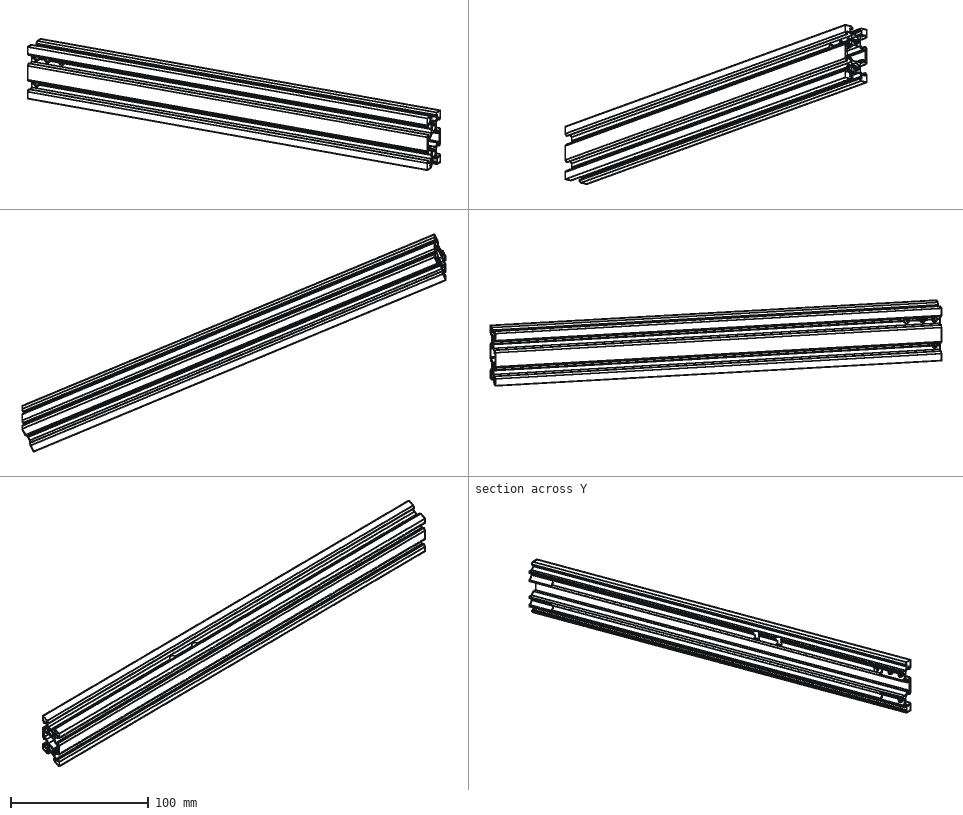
import cadquery as cq
import math

LENGTH = 330.0
WIDTH = 20.0
HEIGHT = 40.0

CELL = HEIGHT / 2
CORE_Z = (CELL / 2, -CELL / 2)

BORE_DIAMETER = 3.3
COUNTERBORE_DIAMETER = 5.3
COUNTERBORE_DEPTH = 19.8

CORE_WALL = 1.35
CORE = COUNTERBORE_DIAMETER + 2 * CORE_WALL

WALL = 1.8
WEB = 1.25
WEB_OFFSET = WEB / math.sqrt(2)

SLOT_MOUTH = 9.2
SLOT_BEVEL = 1.45
SLOT_INSIDE = 10.5
GROOVE_WIDTH = 0.5
GROOVE_DEPTH = 0.5

CAVITY_SHELF_Z = 3.5

SIDE_HOLE_DIAMETER = 3.5
UPPER_SIDE_HOLES_X = (4.0, 13.0, 24.8)
LOWER_SIDE_HOLES_X = (4.0,)

TOP_HOLE_DIAMETER = 4.5
TOP_HOLE_FLOOR = 1.52
TOP_HOLES_X = (110.0, 129.7)


def mirror_in_y(points):
    """Mirrored copy of (Y, Z) points, in the order that continues the outline."""
    return [(-y, z) for y, z in reversed(points)]


def along_x(outline):
    """Extrude a closed (Y, Z) outline over the whole length."""
    return cq.Workplane("YZ").polyline(outline).close().extrude(LENGTH)


def slot(face):
    """Slot opening towards +Z, with its outer face at Z = face and the bore axis at Z = 0."""
    mouth = SLOT_MOUTH / 2
    throat = mouth - SLOT_BEVEL
    inside = SLOT_INSIDE / 2
    floor = CORE / 2
    half = [
        (mouth, face),
        (throat, face - SLOT_BEVEL),
        (throat, face - WALL),
        (inside, face - WALL),
        (inside, inside + WEB_OFFSET),
        (floor - WEB_OFFSET, floor),
        (GROOVE_WIDTH / 2, floor),
    ]
    groove_bottom = [(0, floor - GROOVE_DEPTH)]
    return along_x(half + groove_bottom + mirror_in_y(half))


def cavity():
    """Hollow between the cores, bounded by the diagonal webs and the side walls."""
    wall_y = WIDTH / 2 - WALL
    top_z = CELL / 2 - CORE / 2
    top_y = CORE / 2 - WEB_OFFSET
    shelf_y = top_y + top_z - CAVITY_SHELF_Z
    quarter = [(wall_y, CAVITY_SHELF_Z), (shelf_y, CAVITY_SHELF_Z), (top_y, top_z)]
    upper = quarter + mirror_in_y(quarter)
    lower = [(-y, -z) for y, z in upper]
    return along_x(upper + lower)


def bore(z):
    """Bore along one core with a counterbore at each end."""
    axis = cq.Workplane("YZ").center(0, z)
    through = axis.circle(BORE_DIAMETER / 2).extrude(LENGTH)
    near_end = axis.circle(COUNTERBORE_DIAMETER / 2).extrude(COUNTERBORE_DEPTH)
    far_end = near_end.translate((LENGTH - COUNTERBORE_DEPTH, 0, 0))
    return through.union(near_end).union(far_end)


def side_hole(x, z):
    """Hole across the full width, through both side slots."""
    circle = cq.Workplane("XZ").center(x, z).circle(SIDE_HOLE_DIAMETER / 2)
    return circle.extrude(WIDTH / 2, both=True)


def top_hole(x):
    """Blind hole from the top slot, ending just above the bottom of the upper bore."""
    floor_z = CORE_Z[0] - TOP_HOLE_FLOOR
    circle = cq.Workplane("XY", origin=(x, 0, floor_z)).circle(TOP_HOLE_DIAMETER / 2)
    return circle.extrude(HEIGHT / 2 - floor_z)


result = cq.Workplane("XY").box(LENGTH, WIDTH, HEIGHT, centered=(False, True, True))

end_slot = slot(CELL / 2).translate((0, 0, CORE_Z[0]))
side_slot = slot(WIDTH / 2).rotate((0, 0, 0), (1, 0, 0), 90).translate((0, 0, CORE_Z[0]))
for turn in (0, 180):
    for cutter in (end_slot, side_slot, side_slot.mirror("XZ")):
        result = result.cut(cutter.rotate((0, 0, 0), (1, 0, 0), turn))

result = result.cut(cavity())

for core_z in CORE_Z:
    result = result.cut(bore(core_z))

for holes_x, core_z in zip((UPPER_SIDE_HOLES_X, LOWER_SIDE_HOLES_X), CORE_Z):
    for hole_x in holes_x:
        result = result.cut(side_hole(hole_x, core_z))

for hole_x in TOP_HOLES_X:
    result = result.cut(top_hole(hole_x))